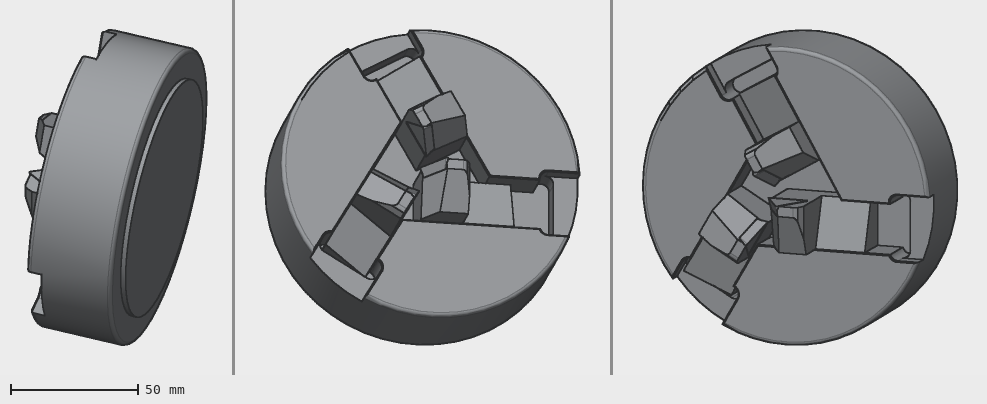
import cadquery as cq
import math


body_radius = 60.0
body_thickness = 34.9
rim_fillet = 1.5
lip_radius = 48.0
lip_height = 2.0
arm_count = 3
arm_angle = 360.0 / arm_count

jaw_width = 20.0
jaw_top = -0.2
jaw_bottom = jaw_top - jaw_width
jaw_front = -17.4
jaw_inner = -4.3
jaw_outer = 12.7
foot_end = 33.2
foot_slope = 20.0
nose_flat_end = 9.4
nose_arc_width = 1.9
nose_arc_drop = 0.7
bevel_length = 3.0
relief_angle = 22.0
inner_lean = 30.0
inner_clearance = 7.0
inner_relief_foot = -1.1
jaw_shifts = [0.0, 10.9, 16.5]

insert_side = 17.0
insert_corner_radius = 0.6
insert_nose = -18.0
insert_center = 2.8
insert_thickness = 4.3
insert_clearance = 10.0

slot_depth = 15.0
slot_top = 0.0
slot_inner = jaw_bottom / math.sqrt(3)
recess_depth = 6.0
recess_inner = 43.7
recess_top = 3.8
recess_bottom = -22.5
pocket_radius = 3.2
slot_chamfer = 0.5
chamfer_angle = 45.0
pocket_middle = recess_inner + pocket_radius
past_rim = body_radius + 6.0

cut_size = 72.0


def face_plane():
    """Plane on the body's face: local x is u, local y is v, and the normal points out along -X."""
    return cq.Workplane(cq.Plane(origin=(0, 0, 0), xDir=(0, -1, 0), normal=(-1, 0, 0)))


def jaw_plane(v):
    """Plane at a given v: local x is u, local y is the axial direction, and the normal is v."""
    return cq.Workplane(cq.Plane(origin=(0, 0, v), xDir=(0, -1, 0), normal=(0, 0, 1)))


def rectangle(u_start, u_end, v_start, v_end):
    """Rectangle on the body's face."""
    middle = face_plane().center((u_start + u_end) / 2, (v_start + v_end) / 2)
    return middle.rect(u_end - u_start, v_end - v_start)


def around_axis(solid, index):
    """Turn a shape of the first arm to the given arm."""
    return solid.rotate((0, 0, 0), (1, 0, 0), -arm_angle * index)


def disc():
    """Disc with rounded rims and a thin lip on its back."""
    main = cq.Workplane("YZ").circle(body_radius).extrude(body_thickness).edges().fillet(rim_fillet)
    lip = cq.Workplane("YZ").workplane(offset=body_thickness).circle(lip_radius).extrude(lip_height)
    return main.union(lip)


def arm_cutter():
    """One slot: jaw slot, deep pocket at its end, shallow recess out to the rim and chamfered edges."""
    slot = rectangle(slot_inner, pocket_middle, jaw_bottom, slot_top).extrude(-slot_depth)
    pocket = (
        face_plane()
        .center(pocket_middle, (recess_bottom + recess_top) / 2)
        .slot2D(recess_top - recess_bottom, 2 * pocket_radius, angle=90)
        .extrude(-slot_depth)
    )
    recess = (
        rectangle(recess_inner, past_rim, recess_bottom, recess_top)
        .extrude(-recess_depth)
        .edges("|X")
        .fillet(pocket_radius)
    )
    slot_edge = rectangle(
        slot_inner, pocket_middle, jaw_bottom - slot_chamfer, slot_top + slot_chamfer
    ).extrude(-slot_chamfer, taper=chamfer_angle)
    edge_sketch = (
        cq.Sketch()
        .rect(past_rim - recess_inner + 2 * slot_chamfer, recess_top - recess_bottom + 2 * slot_chamfer)
        .vertices()
        .fillet(pocket_radius + slot_chamfer)
    )
    recess_edge = (
        face_plane()
        .center((recess_inner + past_rim) / 2, (recess_top + recess_bottom) / 2)
        .placeSketch(edge_sketch)
        .extrude(-slot_chamfer, taper=chamfer_angle)
    )
    return slot.union(pocket).union(recess).union(slot_edge).union(recess_edge)


def make_body():
    """Disc with one slot per arm."""
    body = disc()
    for index in range(arm_count):
        body = body.cut(around_axis(arm_cutter(), index))
    return body


def jaw_block():
    """Upright block of the jaw, with a rounded and bevelled outer corner at its nose."""
    arc_end = (nose_flat_end + nose_arc_width, jaw_front + nose_arc_drop)
    return (
        jaw_plane(jaw_bottom)
        .moveTo(jaw_inner, slot_depth)
        .lineTo(jaw_inner, jaw_front)
        .lineTo(nose_flat_end, jaw_front)
        .tangentArcPoint(arc_end, relative=False)
        .lineTo(jaw_outer, arc_end[1] + bevel_length)
        .lineTo(jaw_outer, slot_depth)
        .close()
        .extrude(jaw_width)
    )


def jaw_foot():
    """Foot that slides in the slot, with a top that slopes across the slot."""
    fall = jaw_width * math.tan(math.radians(foot_slope))
    return (
        cq.Workplane("XZ", origin=(0, -jaw_outer, 0))
        .polyline([(0, jaw_bottom), (fall, jaw_top), (slot_depth, jaw_top), (slot_depth, jaw_bottom)])
        .close()
        .extrude(foot_end - jaw_outer)
    )


def front_relief():
    """Wedge removed from the nose behind the cutting edge."""
    height = -insert_thickness - jaw_bottom
    fall = height * math.tan(math.radians(relief_angle))
    return (
        cq.Workplane("XZ", origin=(0, -jaw_inner, 0))
        .polyline([(jaw_front, -insert_thickness), (jaw_front, jaw_bottom), (jaw_front + fall, jaw_bottom)])
        .close()
        .extrude(jaw_outer - jaw_inner)
    )


def inner_relief():
    """Block removed from the inner side, down to a face that leans in both directions."""
    lean = math.tan(math.radians(inner_lean))
    clearance = math.tan(math.radians(inner_clearance))
    plane = cq.Plane(
        origin=(inner_relief_foot, -jaw_inner, jaw_bottom),
        xDir=(1, lean, 0),
        normal=(-lean, 1, -clearance),
    )
    return cq.Workplane(plane).rect(cut_size, cut_size).extrude(cut_size)


def insert():
    """Triangular cutting insert with rounded corners and sides that draw in below the cutting edge."""
    nose = insert_nose - insert_corner_radius
    base = nose + insert_side * math.sqrt(3) / 2
    half = insert_side / 2
    corners = [(insert_center, nose), (insert_center + half, base), (insert_center - half, base)]
    return (
        jaw_plane(0)
        .polyline(corners)
        .close()
        .extrude(-insert_thickness, taper=insert_clearance)
        .edges("not #Z")
        .fillet(insert_corner_radius)
    )


def make_jaw():
    """Jaw of the first arm at zero radial setting."""
    return jaw_block().cut(front_relief()).cut(inner_relief()).union(jaw_foot()).union(insert())


body = make_body()

jaws = []
for index, shift in enumerate(jaw_shifts):
    jaws.append(around_axis(make_jaw().translate((0, -shift, 0)), index))

result = cq.Compound.makeCompound([body.val(), *[jaw.val() for jaw in jaws]])